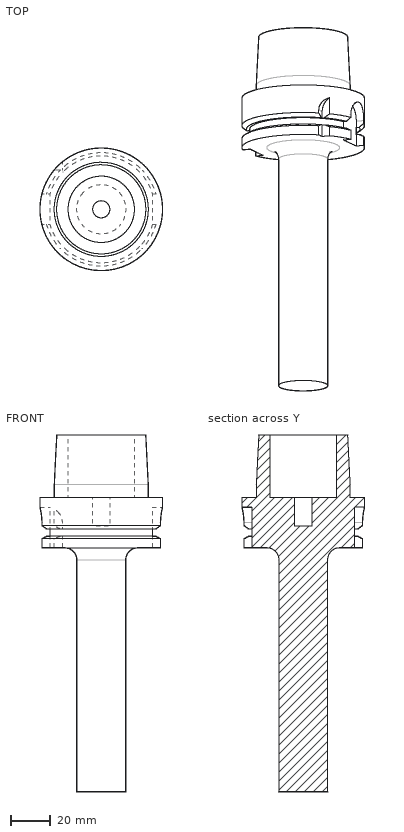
import cadquery as cq
import math

total_height = 183.0
taper_base_z = 157.5
flange_top_z = 151.0
upper_rim_z = 136.5
groove_top_z = 134.7
groove_bottom_z = 131.0
lower_rim_z = 129.7
flange_bottom_z = 125.0

taper_top_radius = 22.9
taper_base_radius = 24.2
flange_radius = 31.5
groove_shoulder_radius = 29.1
groove_radius = 27.5
shank_radius = 12.6
neck_fillet = 6.0

bore_radius = 17.0
bore_depth = total_height - flange_top_z
center_hole_radius = 4.4
center_hole_depth = 14.6

slot_radius = 7.9
slot_arc_z = 138.0
drive_slot_floor = 26.4

notch_wall_x = -20.0
notch_floor_y = 20.1


def turned_body():
    """Shank, filleted neck, grooved flange and tapered end in one revolve."""
    neck_z = flange_bottom_z - neck_fillet
    arc_offset = neck_fillet * (1 - math.sqrt(0.5))
    profile = (
        cq.Workplane("XZ")
        .moveTo(0, 0)
        .lineTo(shank_radius, 0)
        .lineTo(shank_radius, neck_z)
        .threePointArc(
            (shank_radius + arc_offset, flange_bottom_z - arc_offset),
            (shank_radius + neck_fillet, flange_bottom_z),
        )
        .lineTo(flange_radius, flange_bottom_z)
        .lineTo(flange_radius, lower_rim_z)
        .lineTo(groove_shoulder_radius, groove_bottom_z)
        .lineTo(groove_radius, groove_bottom_z)
        .lineTo(groove_radius, groove_top_z)
        .lineTo(groove_shoulder_radius, groove_top_z)
        .lineTo(flange_radius, upper_rim_z)
        .lineTo(flange_radius, flange_top_z)
        .lineTo(taper_base_radius, flange_top_z)
        .lineTo(taper_base_radius, taper_base_z)
        .lineTo(taper_top_radius, total_height)
        .lineTo(0, total_height)
        .close()
    )
    return profile.revolve(360, (0, 0, 0), (0, 1, 0))


def slot_cutter(floor_distance):
    """Arch-topped cutter along +X, from the slot floor out past the flange."""
    return (
        cq.Workplane("YZ", origin=(floor_distance, 0, 0))
        .moveTo(-slot_radius, flange_bottom_z)
        .lineTo(slot_radius, flange_bottom_z)
        .lineTo(slot_radius, slot_arc_z)
        .threePointArc((0, slot_arc_z + slot_radius), (-slot_radius, slot_arc_z))
        .close()
        .extrude(flange_radius)
    )


def bore_cutter(radius, top_z, depth):
    return cq.Workplane("XY", origin=(0, 0, top_z - depth)).circle(radius).extrude(depth)


result = turned_body()
result = result.cut(bore_cutter(bore_radius, total_height, bore_depth))
result = result.cut(bore_cutter(center_hole_radius, total_height - bore_depth, center_hole_depth))

for angle in (0, 180):
    drive_slot = slot_cutter(drive_slot_floor).rotate((0, 0, 0), (0, 0, 1), angle)
    result = result.cut(drive_slot)

notch_center_x = notch_wall_x - slot_radius
side_notch = (
    slot_cutter(notch_floor_y)
    .rotate((0, 0, 0), (0, 0, 1), 90)
    .translate((notch_center_x, 0, 0))
)
result = result.cut(side_notch)